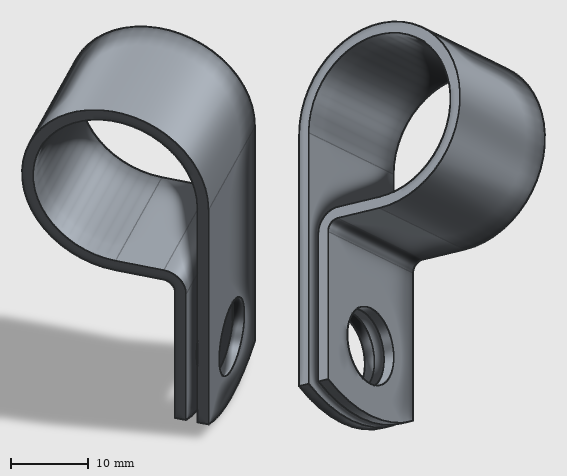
import cadquery as cq
import math

height = 49.15
width = 19.05
loop_radius = 12.65
thickness = 1.5
leg_gap = 1.5

bend_inner_radius = 1.5
hole_diameter = 10.35
hole_height = 9.55
tip_rise = 2.15

loop_z = height - loop_radius
inner_radius = loop_radius - thickness
bend_outer_radius = bend_inner_radius + thickness
short_leg_right = inner_radius - leg_gap
short_leg_left = short_leg_right - thickness
bend_x = short_leg_right - bend_outer_radius
shelf_top = loop_z - inner_radius
shelf_bottom = loop_z - loop_radius
bend_z = shelf_top - bend_outer_radius
diagonal = math.sqrt(0.5)


def bent_strip():
    """Strip bent into a three-quarter loop with a long and a short leg."""
    return (
        cq.Workplane("XZ")
        .moveTo(loop_radius, 0)
        .lineTo(loop_radius, loop_z)
        .threePointArc(
            (-loop_radius * diagonal, loop_z + loop_radius * diagonal),
            (0, shelf_bottom),
        )
        .lineTo(bend_x, shelf_bottom)
        .threePointArc(
            (bend_x + bend_inner_radius * diagonal, bend_z + bend_inner_radius * diagonal),
            (short_leg_left, bend_z),
        )
        .lineTo(short_leg_left, 0)
        .lineTo(short_leg_right, 0)
        .lineTo(short_leg_right, bend_z)
        .threePointArc(
            (bend_x + bend_outer_radius * diagonal, bend_z + bend_outer_radius * diagonal),
            (bend_x, shelf_top),
        )
        .lineTo(0, shelf_top)
        .threePointArc(
            (-inner_radius * diagonal, loop_z + inner_radius * diagonal),
            (inner_radius, loop_z),
        )
        .lineTo(inner_radius, 0)
        .close()
        .extrude(width / 2, both=True)
    )


def side_envelope():
    """Side outline with the rounded leg tips, spanning the full part in X."""
    return (
        cq.Workplane("YZ")
        .moveTo(-width / 2, tip_rise)
        .threePointArc((0, 0), (width / 2, tip_rise))
        .lineTo(width / 2, height)
        .lineTo(-width / 2, height)
        .close()
        .extrude(loop_radius, both=True)
    )


def bolt_hole():
    """Cylinder along X through both legs."""
    return (
        cq.Workplane("YZ")
        .center(0, hole_height)
        .circle(hole_diameter / 2)
        .extrude(loop_radius)
    )


result = bent_strip().intersect(side_envelope()).cut(bolt_hole())